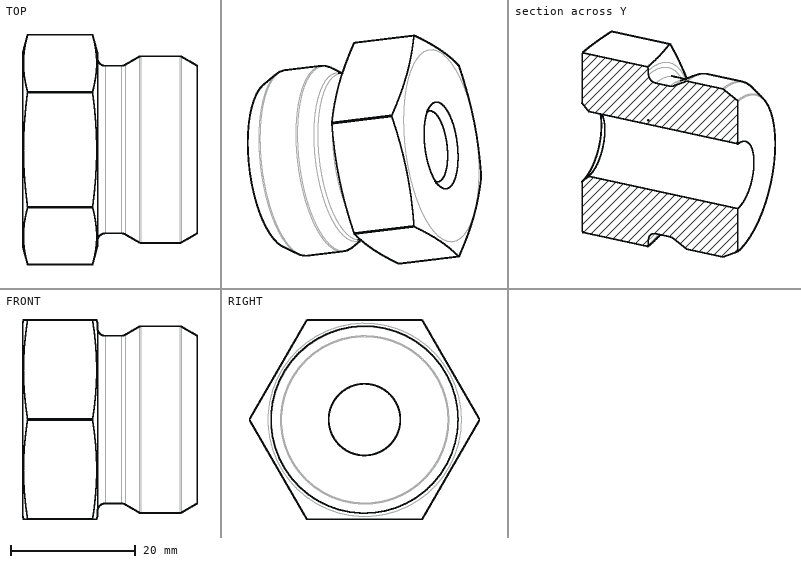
import cadquery as cq
import math

head_sides = 6
across_flats = 32.0
corner_diameter = 36.83
head_length = 12.0
head_face_diameter = 31.0
head_chamfer_angle = math.radians(15)

total_length = 28.0
body_diameter = 30.0
neck_diameter = 26.9
neck_radius = 1.25
neck_end = 15.8
shoulder_radius = 0.5
cone_angle = math.radians(30)
tip_diameter = neck_diameter
tip_radius = 0.2

bore_diameter = 11.45
countersink_diameter = 14.0
countersink_angle = math.radians(45)


def make_head():
    """Hexagonal prism with blunted corners and both end faces chamfered."""
    sharp_corner_diameter = across_flats / math.cos(math.pi / head_sides)
    prism = cq.Workplane("YZ").polygon(head_sides, sharp_corner_diameter).extrude(head_length)
    corner_r = corner_diameter / 2
    face_r = head_face_diameter / 2
    chamfer_length = (corner_r - face_r) * math.tan(head_chamfer_angle)
    envelope = (
        cq.Workplane("XY")
        .moveTo(0, 0)
        .lineTo(0, face_r)
        .lineTo(chamfer_length, corner_r)
        .lineTo(head_length - chamfer_length, corner_r)
        .lineTo(head_length, face_r)
        .lineTo(head_length, 0)
        .close()
        .revolve(360, (0, 0, 0), (1, 0, 0))
    )
    return prism.intersect(envelope)


def arc_point(center, radius, angle):
    """Point on an arc, with the angle measured from the radial direction toward +X."""
    return (center[0] + radius * math.sin(angle), center[1] + radius * math.cos(angle))


def make_spigot():
    """Neck with rounded ends, a cone up to the body and a conical tip."""
    neck_r = neck_diameter / 2
    body_r = body_diameter / 2
    tip_r = tip_diameter / 2

    neck_start = head_length + neck_radius
    head_arc_center = (neck_start, neck_r + neck_radius)
    head_arc_angle = 1.5 * math.pi
    head_arc_middle_angle = (math.pi + head_arc_angle) / 2
    cone_arc_center = (neck_end, neck_r + neck_radius)
    cone_arc_angle = math.pi - cone_angle
    cone_arc_middle_angle = math.pi - cone_angle / 2

    cone_start = arc_point(cone_arc_center, neck_radius, cone_arc_angle)
    shoulder_center_r = body_r - shoulder_radius
    cone_top_r = shoulder_center_r + shoulder_radius * math.cos(cone_angle)
    cone_end_x = cone_start[0] + (cone_top_r - cone_start[1]) / math.tan(cone_angle)
    rear_center = (cone_end_x + shoulder_radius * math.sin(cone_angle), shoulder_center_r)

    tip_cone_length = (body_r - tip_r) / math.tan(cone_angle)
    shoulder_setback = shoulder_radius * math.tan(cone_angle / 2)
    front_center = (total_length - tip_cone_length - shoulder_setback, shoulder_center_r)
    face_angle = math.pi / 2
    tip_setback = tip_radius * math.tan((face_angle - cone_angle) / 2)
    tip_center = (total_length - tip_radius, tip_r - tip_setback)
    tip_middle_angle = (cone_angle + face_angle) / 2

    profile = (
        cq.Workplane("XY")
        .moveTo(head_length, 0)
        .lineTo(*arc_point(head_arc_center, neck_radius, head_arc_angle))
        .threePointArc(
            arc_point(head_arc_center, neck_radius, head_arc_middle_angle),
            (neck_start, neck_r),
        )
        .lineTo(neck_end, neck_r)
        .threePointArc(
            arc_point(cone_arc_center, neck_radius, cone_arc_middle_angle),
            cone_start,
        )
        .lineTo(*arc_point(rear_center, shoulder_radius, -cone_angle))
        .threePointArc(
            arc_point(rear_center, shoulder_radius, -cone_angle / 2),
            arc_point(rear_center, shoulder_radius, 0),
        )
        .lineTo(*arc_point(front_center, shoulder_radius, 0))
        .threePointArc(
            arc_point(front_center, shoulder_radius, cone_angle / 2),
            arc_point(front_center, shoulder_radius, cone_angle),
        )
        .lineTo(*arc_point(tip_center, tip_radius, cone_angle))
        .threePointArc(
            arc_point(tip_center, tip_radius, tip_middle_angle),
            arc_point(tip_center, tip_radius, face_angle),
        )
        .lineTo(total_length, 0)
        .close()
    )
    return profile.revolve(360, (0, 0, 0), (1, 0, 0))


def make_bore():
    """Through bore with a conical countersink at the head face."""
    bore_r = bore_diameter / 2
    countersink_r = countersink_diameter / 2
    countersink_depth = (countersink_r - bore_r) / math.tan(countersink_angle)
    return (
        cq.Workplane("XY")
        .moveTo(0, 0)
        .lineTo(0, countersink_r)
        .lineTo(countersink_depth, bore_r)
        .lineTo(total_length, bore_r)
        .lineTo(total_length, 0)
        .close()
        .revolve(360, (0, 0, 0), (1, 0, 0))
    )


result = make_head().union(make_spigot()).cut(make_bore())